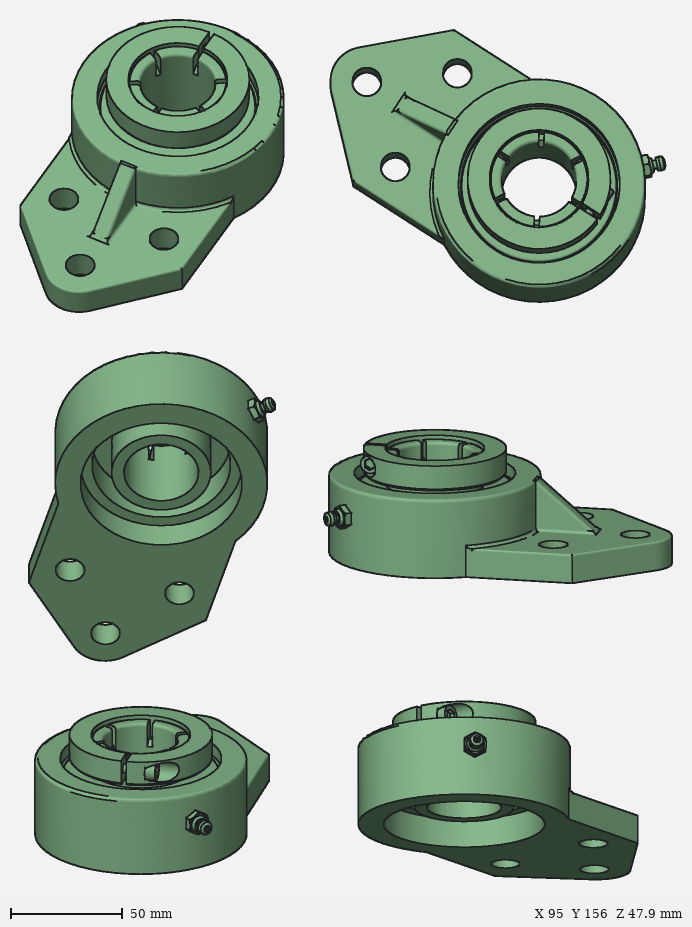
import cadquery as cq
import math


overall_length = 156.0
hub_diameter = 95.0
hub_radius = hub_diameter / 2
hub_height = 36.3
hub_edge_fillet = 1.4
seat_diameter = 72.2

foot_height = 13.3
foot_half_width = 41.2
foot_shoulder_y = -72.4
foot_tip_radius = 15.6
foot_tip_y = hub_radius + foot_tip_radius - overall_length
foot_edge_fillet = 1.0
root_fillet = 1.4
bolt_hole_diameter = 13.0
side_hole_x = 25.5
side_hole_y = -60.2
tip_hole_y = -92.0

rib_width = 8.1
rib_end_y = -75.0
rib_edge_fillet = 1.4

bearing_mid_z = 21.8
outer_ring_top = 30.5
outer_ring_lip_diameter = 70.2
outer_ring_inner_diameter = 62.0
shield_diameter = 69.3
shield_top = 31.2
shield_thickness = 2.3
shield_edge_fillet = 1.0
inner_ring_top = 46.2
inner_ring_bottom = 7.8
inner_ring_diameter = 44.3
inner_ring_edge_chamfer = 0.6
bore_diameter = 33.4
bore_fillet = 1.5
split_width = 2.3
inner_slot_count = 6
slot_floor = 37.8
slot_ramp_radius = 19.3

collar_diameter = 64.0
collar_top = 47.9
collar_bottom = 36.2
collar_bottom_chamfer = 1.01

screw_y = 26.7
screw_z = 42.3
screw_shank_diameter = 4.2
screw_head_diameter = 8.5
screw_head_face_x = -14.0
screw_seat_x = -9.4
screw_end_x = 12.5
screw_pocket_diameter = 9.2
socket_across_corners = 5.5
socket_depth = 2.3

nipple_direction = 135
nipple_z = 22.8
nipple_root_radius = 42.1
nipple_stem_diameter = 5.8
nipple_hex_across_corners = 10.9
nipple_hex_height = 3.1
nipple_hex_chamfer = 0.6
nipple_hex_embed = 2.3
nipple_collar_diameter = 7.8
nipple_collar_height = 1.4
nipple_neck_diameter = 4.0
nipple_head_diameter = 6.0
nipple_neck_length = 1.7
nipple_ridge_diameter = 6.5
nipple_ridge_radius = 55.0
nipple_shoulder_radius = 56.8
nipple_tip_diameter = 3.1
nipple_tip_radius = 57.5
nipple_duct_diameter = 1.48
nipple_duct_depth = 1.5


def cylinder(diameter, bottom, top):
    return cq.Workplane("XY").workplane(offset=bottom).circle(diameter / 2).extrude(top - bottom)


def x_cylinder(diameter, start_x, end_x):
    """Cylinder along X on the screw axis."""
    plane = cq.Workplane("YZ", origin=(start_x, screw_y, screw_z))
    return plane.circle(diameter / 2).extrude(end_x - start_x)


def split(angle, bottom):
    """Radial saw cut of split_width from the axis outwards, open above `bottom`."""
    cut = cq.Workplane("XY").box(hub_radius, split_width, collar_top, centered=(False, True, False))
    return cut.translate((0, 0, bottom)).rotate((0, 0, 0), (0, 0, 1), angle)


def tip_tangent_point():
    """Point where the right-hand foot flank runs tangent into the rounded tip."""
    dx = foot_half_width
    dy = foot_shoulder_y - foot_tip_y
    angle = math.atan2(dy, dx) - math.acos(foot_tip_radius / math.hypot(dx, dy))
    return foot_tip_radius * math.cos(angle), foot_tip_y + foot_tip_radius * math.sin(angle)


def foot_outline():
    """Closed outline of the foot, reaching back under the hub."""
    tangent_x, tangent_y = tip_tangent_point()
    return (
        cq.Workplane("XY")
        .moveTo(foot_half_width, 0)
        .lineTo(foot_half_width, foot_shoulder_y)
        .lineTo(tangent_x, tangent_y)
        .threePointArc((0, foot_tip_y - foot_tip_radius), (-tangent_x, tangent_y))
        .lineTo(-foot_half_width, foot_shoulder_y)
        .lineTo(-foot_half_width, 0)
        .close()
    )


def make_foot():
    foot = foot_outline().extrude(foot_height)
    return foot.faces(">Z").edges("not >Y").fillet(foot_edge_fillet)


def make_hub_root():
    """Concave ring between hub and foot, trimmed square by the foot outline."""
    root_top = foot_height + root_fillet
    toe_radius = hub_radius + root_fillet
    arc_dip = root_fillet * math.sqrt(0.5)
    ring = (
        cq.Workplane("XZ")
        .moveTo(hub_radius - root_fillet, 0)
        .lineTo(toe_radius, 0)
        .lineTo(toe_radius, foot_height)
        .threePointArc((toe_radius - arc_dip, root_top - arc_dip), (hub_radius, root_top))
        .lineTo(hub_radius - root_fillet, root_top)
        .close()
        .revolve(360, (0, 0, 0), (0, 1, 0))
    )
    return ring.intersect(foot_outline().extrude(root_top))


def rib_wedge(width):
    """Sloping wedge from the hub rim down to the foot, centred on X = 0."""
    inner_y = hub_edge_fillet - hub_radius
    return (
        cq.Workplane("YZ")
        .polyline([
            (rib_end_y, foot_height),
            (-hub_radius, hub_height),
            (inner_y, hub_height),
            (inner_y, foot_height),
        ])
        .close()
        .extrude(width / 2, both=True)
    )


def make_rib():
    """Rib with rounded sloping edges and a concave skirt along its base."""
    skirt_top = foot_height + root_fillet
    skirt_half_width = rib_width / 2 + root_fillet
    rib = rib_wedge(rib_width).edges("not (|X or |Y or |Z)").fillet(rib_edge_fillet)
    skirt = rib_wedge(2 * skirt_half_width)
    skirt = skirt.intersect(foot_outline().extrude(skirt_top))
    hollows = (
        cq.Workplane("XZ", origin=(0, 0, skirt_top))
        .pushPoints([(-skirt_half_width, 0), (skirt_half_width, 0)])
        .circle(root_fillet)
        .extrude(hub_diameter)
    )
    return rib.union(skirt.cut(hollows))


def make_housing():
    hub = cylinder(hub_diameter, 0, hub_height).faces(">Z").edges().fillet(hub_edge_fillet)
    body = hub.union(make_foot()).union(make_hub_root()).union(make_rib())
    bolt_holes = (
        cq.Workplane("XY")
        .pushPoints([(-side_hole_x, side_hole_y), (side_hole_x, side_hole_y), (0, tip_hole_y)])
        .circle(bolt_hole_diameter / 2)
        .extrude(foot_height)
    )
    return body.cut(bolt_holes).cut(cylinder(seat_diameter, 0, hub_height)).cut(make_nipple())


def make_outer_ring():
    """Bearing outer ring whose top face is a shallow funnel down to its lip."""
    funnel_depth = (seat_diameter - outer_ring_lip_diameter) / 2
    ring = cylinder(seat_diameter, 2 * bearing_mid_z - outer_ring_top, outer_ring_top)
    ring = ring.cut(cylinder(outer_ring_inner_diameter, 0, hub_height))
    pocket = cylinder(outer_ring_lip_diameter, shield_top - shield_thickness, hub_height)
    funnel = cq.Workplane(cq.Solid.makeCone(
        outer_ring_lip_diameter / 2,
        seat_diameter / 2,
        funnel_depth,
        pnt=cq.Vector(0, 0, outer_ring_top - funnel_depth),
    ))
    return ring.cut(pocket).cut(funnel)


def make_shield():
    shield = cylinder(shield_diameter, shield_top - shield_thickness, shield_top)
    shield = shield.faces(">Z").edges().fillet(shield_edge_fillet)
    return shield.cut(cylinder(inner_ring_diameter, 0, hub_height))


def make_inner_ring():
    """Inner ring with a rounded bore mouth and radial slots whose floors slope down to the bore."""
    ring = cylinder(inner_ring_diameter, inner_ring_bottom, inner_ring_top)
    ring = ring.faces(">Z").edges().chamfer(inner_ring_edge_chamfer)
    ring = ring.cut(cylinder(bore_diameter, 0, collar_top))
    ring = ring.faces(">Z").edges(cq.selectors.RadiusNthSelector(0)).fillet(bore_fillet)
    ramp_size = 2 * (slot_ramp_radius - bore_diameter / 2)
    for index in range(inner_slot_count):
        angle = 90 + index * 360 / inner_slot_count
        ramp = (
            cq.Workplane("XZ")
            .polyline([
                (slot_ramp_radius, slot_floor),
                (slot_ramp_radius - ramp_size, slot_floor),
                (slot_ramp_radius - ramp_size, slot_floor - ramp_size),
            ])
            .close()
            .extrude(split_width / 2, both=True)
            .rotate((0, 0, 0), (0, 0, 1), angle)
        )
        ring = ring.cut(split(angle, slot_floor)).cut(ramp)
    return ring


def make_collar():
    collar = cylinder(collar_diameter, collar_bottom, collar_top)
    collar = collar.faces("<Z").edges().chamfer(collar_bottom_chamfer)
    collar = collar.cut(cylinder(inner_ring_diameter, 0, collar_top))
    head_pocket = x_cylinder(screw_pocket_diameter, -collar_diameter, screw_seat_x)
    screw_hole = x_cylinder(screw_shank_diameter, screw_seat_x, screw_end_x)
    return collar.cut(split(90, 0)).cut(head_pocket).cut(screw_hole)


def make_screw():
    head = x_cylinder(screw_head_diameter, screw_head_face_x, screw_seat_x)
    shank = x_cylinder(screw_shank_diameter, screw_seat_x, screw_end_x)
    socket = (
        cq.Workplane("YZ", origin=(screw_head_face_x, screw_y, screw_z))
        .transformed(rotate=(0, 0, 90))
        .polygon(6, socket_across_corners)
        .extrude(socket_depth)
    )
    return head.union(shank).cut(socket)


def make_nipple():
    """Grease nipple: stem and hexagon, then a turned collar, neck and bulb along its axis."""
    hex_face = hub_radius + nipple_hex_height
    collar_face = hex_face + nipple_collar_height
    neck_end = collar_face + nipple_neck_length
    turned_profile = [
        (nipple_root_radius, 0),
        (nipple_root_radius, nipple_stem_diameter / 2),
        (hex_face, nipple_stem_diameter / 2),
        (hex_face, nipple_collar_diameter / 2),
        (collar_face, nipple_head_diameter / 2),
        (collar_face, nipple_neck_diameter / 2),
        (neck_end, nipple_neck_diameter / 2),
        (neck_end, nipple_head_diameter / 2),
        (nipple_ridge_radius, nipple_ridge_diameter / 2),
        (nipple_shoulder_radius, nipple_head_diameter / 2),
        (nipple_tip_radius, nipple_tip_diameter / 2),
        (nipple_tip_radius, 0),
    ]
    turned = (
        cq.Workplane("XY").polyline(turned_profile).close().revolve(360, (0, 0, 0), (1, 0, 0))
    )
    hex_plane = cq.Workplane("YZ", origin=(hub_radius - nipple_hex_embed, 0, 0))
    hex_length = nipple_hex_embed + nipple_hex_height
    hex_round = hex_plane.circle(nipple_hex_across_corners / 2).extrude(hex_length)
    hexagon = (
        hex_plane
        .transformed(rotate=(0, 0, 90))
        .polygon(6, nipple_hex_across_corners)
        .extrude(hex_length)
        .intersect(hex_round.faces(">X").edges().chamfer(nipple_hex_chamfer))
    )
    duct = (
        cq.Workplane("YZ", origin=(nipple_tip_radius - nipple_duct_depth, 0, 0))
        .circle(nipple_duct_diameter / 2)
        .extrude(nipple_duct_depth)
    )
    nipple = turned.union(hexagon).cut(duct)
    return nipple.rotate((0, 0, 0), (0, 0, 1), nipple_direction).translate((0, 0, nipple_z))


housing = make_housing()
outer_ring = make_outer_ring()
shield = make_shield()
inner_ring = make_inner_ring()
collar = make_collar()
screw = make_screw()
nipple = make_nipple()
result = cq.Compound.makeCompound([
    housing.val(),
    outer_ring.val(),
    shield.val(),
    inner_ring.val(),
    collar.val(),
    screw.val(),
    nipple.val(),
])